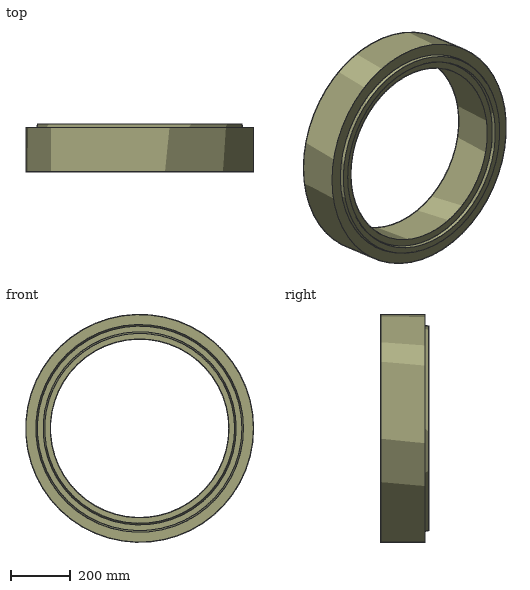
import cadquery as cq

outer_radius = 383.0
bore_radius = 299.5
total_width = 162.0
tongue_height = 12.0
body_width = total_width - tongue_height

groove_mean_radius = 334.0
groove_mouth_width = 30.0
groove_floor_width = 19.0
groove_depth = 15.0

tongue_base_width = 24.5
tongue_tip_width = 19.0

front_y = -total_width / 2
back_y = front_y + body_width


def tapered_ring(start_y, end_y, start_width, end_width):
    """Ring of trapezoidal section, centred on the groove's mean radius."""
    section = [
        (groove_mean_radius - start_width / 2, start_y),
        (groove_mean_radius + start_width / 2, start_y),
        (groove_mean_radius + end_width / 2, end_y),
        (groove_mean_radius - end_width / 2, end_y),
    ]
    return cq.Workplane("XY").polyline(section).close().revolve(360, (0, 0), (0, 1))


body = (
    cq.Workplane("XZ", origin=(0, back_y, 0))
    .circle(outer_radius)
    .circle(bore_radius)
    .extrude(body_width)
)
groove = tapered_ring(front_y, front_y + groove_depth, groove_mouth_width, groove_floor_width)
tongue = tapered_ring(back_y, back_y + tongue_height, tongue_base_width, tongue_tip_width)

result = body.cut(groove).union(tongue)